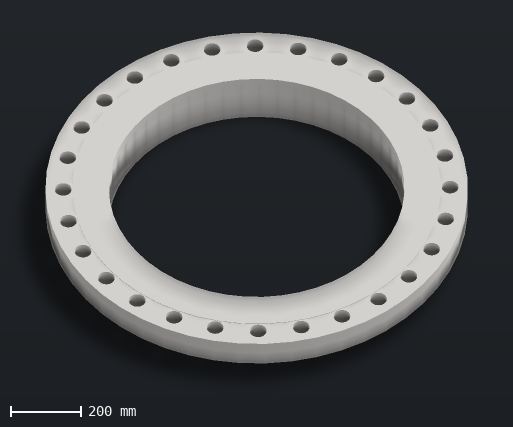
import cadquery as cq

total_height = 160.34
flange_diameter = 1206.5
flange_thickness = 82.55

raised_face_diameter = 1052.5
raised_face_height = 1.6

pipe_diameter = 863.6
pipe_wall = 9.53
hub_base_diameter = 1001.0
weld_neck_height = 6.4
bevel_height = 6.1
weld_land_width = 1.6
bore_diameter = pipe_diameter - 2 * pipe_wall

bolt_count = 28
bolt_circle_diameter = 1104.9
bolt_hole_diameter = 48.0

neck_bottom = bevel_height
neck_top = neck_bottom + weld_neck_height
flange_top = total_height - raised_face_height
flange_bottom = flange_top - flange_thickness


def flange_body():
    """Revolve the half section (radius, height) about the Z axis."""
    bore_radius = bore_diameter / 2
    pipe_radius = pipe_diameter / 2
    section = [
        (bore_radius, 0),
        (bore_radius + weld_land_width, 0),
        (pipe_radius, neck_bottom),
        (pipe_radius, neck_top),
        (hub_base_diameter / 2, flange_bottom),
        (flange_diameter / 2, flange_bottom),
        (flange_diameter / 2, flange_top),
        (raised_face_diameter / 2, flange_top),
        (raised_face_diameter / 2, total_height),
        (bore_radius, total_height),
    ]
    return cq.Workplane("XZ").polyline(section).close().revolve(360, (0, 0), (0, 1))


def bolt_holes():
    """Through-hole cutters on the bolt circle, the first one on the +X axis."""
    return (
        cq.Workplane("XY")
        .polarArray(bolt_circle_diameter / 2, 0, 360, bolt_count)
        .circle(bolt_hole_diameter / 2)
        .extrude(total_height)
    )


result = flange_body().cut(bolt_holes())